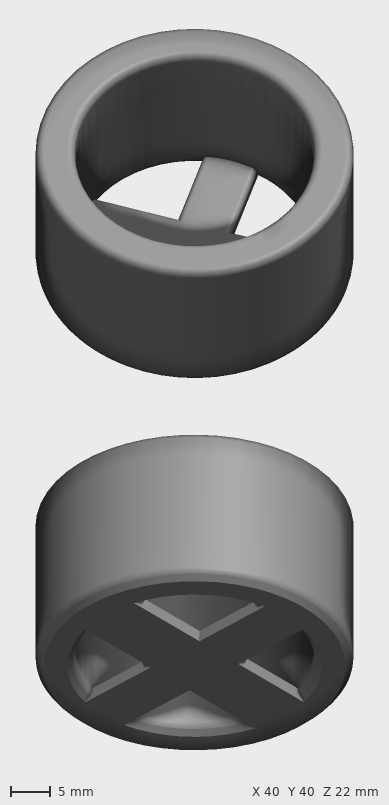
import cadquery as cq

outer_diameter = 40.0
bore_diameter = 30.0
height = 22.0
top_fillet = 1.0
bottom_chamfer = 1.0
chamfer_blend = 1.0

bar_along_x_width = 8.5
bar_along_y_width = 7.1
bar_thickness = 2.0
bar_edge_fillet = 0.7

outer_radius = outer_diameter / 2
bore_radius = bore_diameter / 2


def make_ring():
    """Tube with rounded top rims and chamfered bottom rims eased into the walls."""
    ring = cq.Workplane("XY").circle(outer_radius).circle(bore_radius).extrude(height)
    ring = ring.faces(">Z").edges().fillet(top_fillet)
    ring = ring.faces("<Z").edges().chamfer(bottom_chamfer)
    tolerance = 0.05
    chamfer_top = cq.selectors.BoxSelector(
        (-outer_diameter, -outer_diameter, bottom_chamfer - tolerance),
        (outer_diameter, outer_diameter, bottom_chamfer + tolerance),
        boundingbox=True,
    )
    return ring.edges("%CIRCLE").edges(chamfer_top).fillet(chamfer_blend)


def make_bar(length_x, length_y, long_edges):
    """Flat bar resting on the base plane, with its two long top edges rounded."""
    bar = cq.Workplane("XY").box(length_x, length_y, bar_thickness, centered=(True, True, False))
    return bar.faces(">Z").edges(long_edges).fillet(bar_edge_fillet)


def make_cross():
    """Two crossing bars trimmed to the bore."""
    bar_along_x = make_bar(outer_diameter, bar_along_x_width, "|X")
    bar_along_y = make_bar(bar_along_y_width, outer_diameter, "|Y")
    bar_reach = bore_radius + bottom_chamfer
    trim = cq.Workplane("XY").circle(bar_reach).extrude(bar_thickness)
    return bar_along_x.union(bar_along_y).intersect(trim)


result = make_ring().union(make_cross())